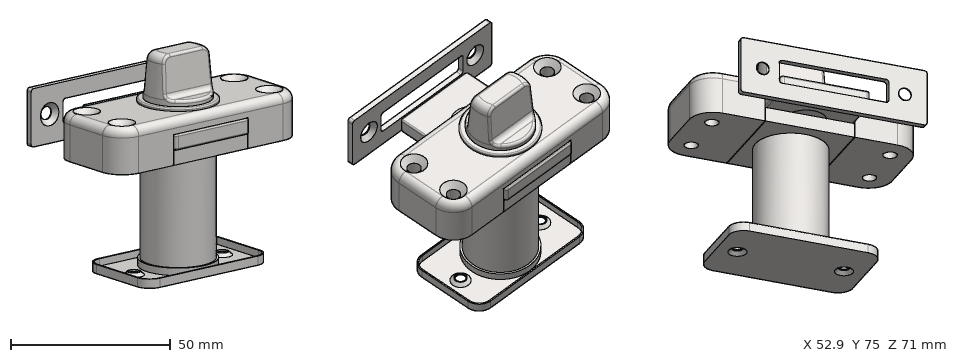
import cadquery as cq
import math

base_height = 3.0
housing_bottom = 39.0
housing_height = 15.0
housing_top = housing_bottom + housing_height
bezel_height = 1.0
knob_bottom = housing_top + bezel_height
knob_top = 71.0

housing_size_x = 32.0
housing_size_y = 75.0
housing_corner_radius = 8.0
housing_edge_radius = 3.0
screw_hole_diameter = 4.5
screw_head_diameter = 8.6
screw_head_angle = 90.0
screw_spacing_x = 17.1
screw_spacing_y = 60.2

bolt_length = 46.0
bolt_width = 30.0
bolt_thickness = 5.0
bolt_end_x = 17.0
bolt_top = 49.0
bolt_side_radius = 1.0
bolt_face_radius = 0.5
bolt_center_x = bolt_end_x - bolt_length / 2
bolt_bottom = bolt_top - bolt_thickness
bolt_side_clearance = 0.2
bolt_bottom_clearance = 0.25
channel_width = bolt_width + 2 * bolt_side_clearance

insert_x = -12.5
insert_diameter = 13.0
insert_recess_diameter = 7.6
insert_recess_depth = 1.0

cylinder_diameter = 24.0
collar_diameter = 25.4
base_size_x = 30.0
base_size_y = 50.0
base_corner_radius = 5.0
base_rim_width = 0.5
base_floor = 0.6
base_screw_spacing = 36.0
dimple_height = 1.1
dimple_foot_diameter = 6.6
dimple_top_diameter = 4.2
base_hole_diameter = 3.5
base_hole_depth = 0.5
countersink_diameter = 6.0

bezel_diameter = 26.0
bezel_edge_radius = 0.5
knob_base_height = 2.0
knob_radius = 11.05
knob_draft = math.radians(4.0)
grip_draft = math.radians(5.0)
grip_top_half_width = 4.0
grip_foot_radius = 2.0
grip_end_radius = 3.0
knob_edge_radius = 1.0

strike_x = -35.92
strike_thickness = 2.0
strike_length = 63.0
strike_height = 19.0
strike_center_z = 46.5
strike_corner_radius = 1.0
strike_window_length = 37.0
strike_window_height = 8.0
strike_window_radius = 1.0
strike_hole_diameter = 4.2
strike_head_diameter = 7.5
strike_hole_spacing = 48.0


def slab(size_x, size_y, bottom, height, center_x=0.0):
    """Rectangular block standing on the given height."""
    return (
        cq.Workplane("XY", origin=(center_x, 0, bottom))
        .rect(size_x, size_y)
        .extrude(height)
    )


def disc(diameter, bottom, height, center_x=0.0):
    """Upright cylinder standing on the given height."""
    return cq.Workplane("XY", origin=(center_x, 0, bottom)).circle(diameter / 2).extrude(height)


def make_housing():
    body = slab(housing_size_x, housing_size_y, housing_bottom, housing_height)
    body = body.edges("|Z").fillet(housing_corner_radius)
    body = body.faces(">Z").edges().fillet(housing_edge_radius)
    channel = slab(housing_size_x, channel_width, housing_bottom, bolt_top - housing_bottom)
    body = body.cut(channel)
    return (
        body.faces(">Z")
        .workplane(origin=(0, 0, housing_top))
        .rect(screw_spacing_x, screw_spacing_y, forConstruction=True)
        .vertices()
        .cskHole(screw_hole_diameter, screw_head_diameter, screw_head_angle)
    )


def make_back_plate():
    """Plate that closes the bolt channel from below, flush with the housing."""
    height = bolt_bottom - bolt_bottom_clearance - housing_bottom
    return slab(housing_size_x, bolt_width, housing_bottom, height)


def make_bolt():
    body = slab(bolt_length, bolt_width, bolt_bottom, bolt_thickness, bolt_center_x)
    body = body.edges("|Z").fillet(bolt_side_radius)
    body = body.faces("<Z or >Z").edges().fillet(bolt_face_radius)
    return body.cut(disc(insert_diameter, bolt_bottom, bolt_thickness, insert_x))


def make_bolt_insert():
    ring = disc(insert_diameter, bolt_bottom, bolt_thickness, insert_x)
    recess_bottom = bolt_top - insert_recess_depth
    return ring.cut(disc(insert_recess_diameter, recess_bottom, insert_recess_depth, insert_x))


def make_cylinder():
    return disc(cylinder_diameter, base_floor, housing_bottom - base_floor)


def make_collar():
    ring = disc(collar_diameter, base_floor, base_height - base_floor)
    return ring.cut(make_cylinder())


def make_cone(bottom_diameter, top_diameter, bottom, height):
    return (
        cq.Workplane("XY", origin=(0, 0, bottom))
        .circle(bottom_diameter / 2)
        .workplane(offset=height)
        .circle(top_diameter / 2)
        .loft(ruled=True)
    )


def make_base():
    """Shallow tray with two raised screw dimples, countersunk from below."""
    tray = slab(base_size_x, base_size_y, 0, base_height).edges("|Z").fillet(base_corner_radius)
    pocket = slab(
        base_size_x - 2 * base_rim_width,
        base_size_y - 2 * base_rim_width,
        base_floor,
        base_height - base_floor,
    )
    tray = tray.cut(pocket.edges("|Z").fillet(base_corner_radius - base_rim_width))
    dimple = make_cone(dimple_foot_diameter, dimple_top_diameter, base_floor, dimple_height)
    countersink_depth = base_floor + dimple_height - base_hole_depth
    countersink = make_cone(countersink_diameter, base_hole_diameter, 0, countersink_depth)
    screw_hole = disc(base_hole_diameter, 0, base_height).union(countersink)
    for side in (-1, 1):
        place = (0, side * base_screw_spacing / 2, 0)
        tray = tray.union(dimple.translate(place)).cut(screw_hole.translate(place))
    return tray


def make_bezel():
    return disc(bezel_diameter, housing_top, bezel_height).faces(">Z").edges().fillet(bezel_edge_radius)


def make_knob():
    """Drafted round knob cut down on both sides to leave an upright grip."""
    foot_z = knob_bottom + knob_base_height
    grip_height = knob_top - foot_z
    top_radius = knob_radius - grip_height * math.tan(knob_draft)
    knob = (
        cq.Workplane("XZ")
        .moveTo(0, knob_bottom)
        .lineTo(knob_radius, knob_bottom)
        .lineTo(knob_radius, foot_z)
        .lineTo(top_radius, knob_top)
        .lineTo(0, knob_top)
        .close()
        .revolve()
    )
    knob = knob.faces(">Z").edges().fillet(grip_end_radius)

    foot_half_width = grip_top_half_width + grip_height * math.tan(grip_draft)
    tangent_length = grip_foot_radius * math.tan(math.pi / 4 - grip_draft / 2)
    arc_center_x = foot_half_width + tangent_length
    arc_center_z = foot_z + grip_foot_radius

    def arc_point(angle):
        return (
            arc_center_x - grip_foot_radius * math.cos(angle),
            arc_center_z - grip_foot_radius * math.sin(angle),
        )

    arc_middle = (math.pi / 2 + grip_draft) / 2
    outside = 2 * knob_radius
    side_cut = (
        cq.Workplane("XZ")
        .moveTo(grip_top_half_width, knob_top)
        .lineTo(*arc_point(grip_draft))
        .threePointArc(arc_point(arc_middle), arc_point(math.pi / 2))
        .lineTo(outside, foot_z)
        .lineTo(outside, knob_top)
        .close()
        .extrude(outside, both=True)
    )
    knob = knob.cut(side_cut).cut(side_cut.mirror("YZ"))

    def is_rim(edge):
        """True on the outline of a side face: its curves and the straight edge at the very top."""
        box = edge.BoundingBox()
        on_one_side = box.xmin * box.xmax > 0
        return on_one_side and (edge.geomType() != "LINE" or edge.Center().z > knob_top - knob_edge_radius)

    return knob.newObject([edge for edge in knob.edges().vals() if is_rim(edge)]).fillet(knob_edge_radius)


def make_strike():
    plane = cq.Workplane("YZ", origin=(strike_x, 0, strike_center_z))
    plate = plane.rect(strike_length, strike_height).extrude(strike_thickness)
    plate = plate.edges("|X").fillet(strike_corner_radius)
    window = plane.rect(strike_window_length, strike_window_height).extrude(strike_thickness)
    plate = plate.cut(window.edges("|X").fillet(strike_window_radius))
    return (
        plate.faces(">X")
        .workplane(origin=(0, 0, strike_center_z))
        .rarray(strike_hole_spacing, 1, 2, 1)
        .cskHole(strike_hole_diameter, strike_head_diameter, screw_head_angle)
    )


housing = make_housing()
back_plate = make_back_plate()
bolt = make_bolt()
bolt_insert = make_bolt_insert()
cylinder = make_cylinder()
collar = make_collar()
base = make_base()
bezel = make_bezel()
knob = make_knob()
strike = make_strike()

result = cq.Compound.makeCompound([
    housing.val(),
    back_plate.val(),
    bolt.val(),
    bolt_insert.val(),
    cylinder.val(),
    collar.val(),
    base.val(),
    bezel.val(),
    knob.val(),
    strike.val(),
])